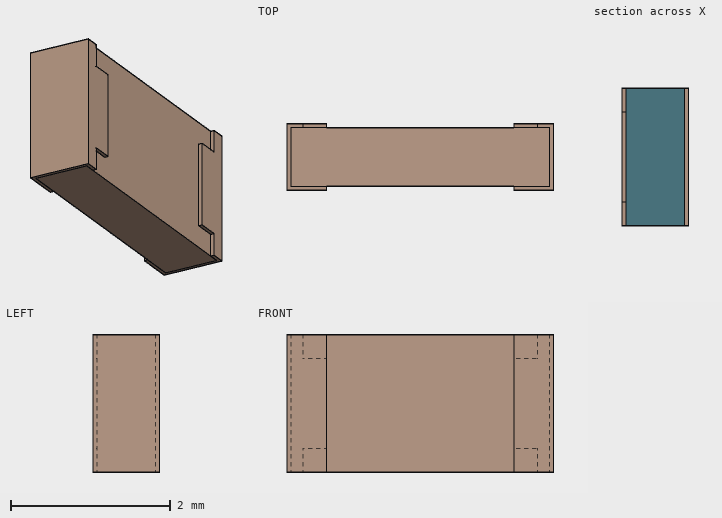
import cadquery as cq

length = 3.35
thickness = 0.84
height = 1.73
plating = 0.05
flange_length = 0.50

short_flange_length = 0.20
notch_height = 0.30

body_length = length - 2 * plating
body_thickness = thickness - 2 * plating


def make_body():
    """Plain ceramic block."""
    return cq.Workplane("XY").box(body_length, body_thickness, height)


def make_cap(body, side):
    """U-shaped end cap; side is -1 for the -X end and +1 for the +X end."""
    cap_center = side * (length - flange_length) / 2
    blank = cq.Workplane("XY").box(flange_length, thickness, height).translate((cap_center, 0, 0))
    cap = blank.cut(body)

    notch_length = flange_length - short_flange_length
    notch_x = side * (length / 2 - flange_length + notch_length / 2)
    notch_y = (thickness - plating) / 2
    for end in (-1, 1):
        notch_z = end * (height - notch_height) / 2
        notch = cq.Workplane("XY").box(notch_length, plating, notch_height)
        cap = cap.cut(notch.translate((notch_x, notch_y, notch_z)))
    return cap


body = make_body()
caps = [make_cap(body, side) for side in (-1, 1)]

result = cq.Compound.makeCompound([body.val(), *[cap.solids().val() for cap in caps]])